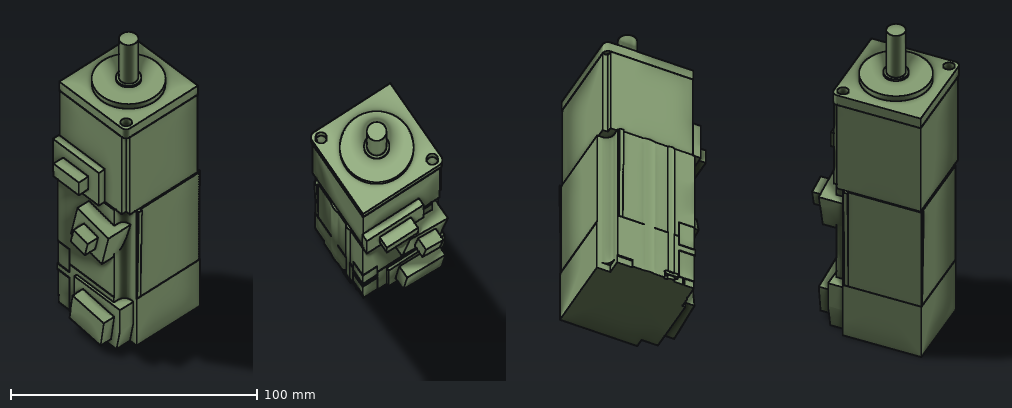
import cadquery as cq

overall_height = 148.0

encoder_width = 41.1
encoder_top = 26.0
motor_width = 40.8
motor_top = 74.6
gearbox_width = 39.7
gearbox_top = 117.8
flange_width = 40.0
flange_top = 122.8
flange_corner_radius = 2.5
pilot_diameter = 30.0
pilot_top = 125.5
collar_diameter = 10.4
collar_top = 126.4
shaft_diameter = 8.0

hole_diameter = 4.7
hole_offset = 16.3
gearbox_notch_start = 17.5
motor_notch_x = 13.6
motor_notch_y = 14.5
motor_notch_radius = 3.7
foot_height = 3.7

bowed_ribs = ((-2.7, 3.1, 0.5), (-11.2, -8.1, 0.5))

root_depth = 1.5

rib_reach_x = 21.3
rib_reach_y = 21.2
side_rib_width = 1.8
side_rib_y = 13.0
back_rib_width = 0.6
back_rib_x = 19.7

cable_pad_x = (-20.3, 7.4)
cable_pad_z = (motor_top, 92.8)
cable_pad_front = -23.2
cable_plug_x = (-14.0, 1.2)
cable_plug_z = (79.5, 86.6)
cable_plug_front = -28.5

motor_plug_center = (5.8, 58.8)
motor_plug_angle = 13.0
motor_pad_size = (19.1, 17.3)
motor_pad_front = -26.8
motor_plug_size = (8.7, 7.7)
motor_plug_front = -32.5

encoder_pad_x = (-8.7, 18.6)
encoder_pad_top = 23.2
encoder_pad_front = -21.9
pad_trim_width = 2.0
pad_trim_height = 11.4
encoder_plug_center = (4.9, 11.5)
encoder_plug_angle = 7.8
encoder_plug_size = (19.0, 13.9)
encoder_plug_front = -27.7

relief_depth = 0.3
label_width = 7.3
lower_label_top = 18.2
upper_label_z = (21.5, 34.0)

foot_relief_depth = 0.6
foot_relief_y = ((7.7, motor_notch_y), (-encoder_width / 2, -16.0), (-15.2, -6.8))
clip_y = (-12.6, -7.0)
clip_z = (1.9, foot_height)
clip_height = 0.6


def box(x_range, y_range, z_range):
    """Axis-aligned block between pairs of limits."""
    size = [high - low for low, high in (x_range, y_range, z_range)]
    corner = (x_range[0], y_range[0], z_range[0])
    return cq.Workplane("XY").box(*size, centered=False).translate(corner)


def square_section(width, bottom, top):
    """Square block centred on the shaft axis."""
    return cq.Workplane("XY").workplane(offset=bottom).rect(width, width).extrude(top - bottom)


def disc(diameter, bottom, top):
    """Cylinder on the shaft axis."""
    return cq.Workplane("XY").workplane(offset=bottom).circle(diameter / 2).extrude(top - bottom)


def front_block(center, size, angle, front):
    """Block turned clockwise about Y, reaching from the shaft axis plane to its front face."""
    block = cq.Workplane("XZ").rect(*size).extrude(-front)
    block = block.rotate((0, 0, 0), (0, 1, 0), angle)
    return block.translate((center[0], 0, center[1]))


def with_half_turn_copy(shape):
    """A shape together with its copy turned half a turn about the shaft axis."""
    return shape.union(shape.rotate((0, 0, 0), (0, 0, 1), 180))


def gearbox_section():
    body = square_section(gearbox_width, motor_top, gearbox_top)
    edge = gearbox_width / 2
    notch = box((-edge, -gearbox_notch_start), (gearbox_notch_start, edge), (motor_top, gearbox_top))
    return body.cut(with_half_turn_copy(notch))


def flange_section():
    flange = square_section(flange_width, gearbox_top, flange_top)
    for corner in ("<X and >Y", ">X and <Y"):
        flange = flange.edges(corner).fillet(flange_corner_radius)
    hole = (
        cq.Workplane("XY").workplane(offset=gearbox_top)
        .center(-hole_offset, hole_offset)
        .circle(hole_diameter / 2)
        .extrude(flange_top - gearbox_top)
    )
    return flange.cut(with_half_turn_copy(hole))


def motor_corner_notch():
    """Vertical corner recess with a rounded inner corner."""
    edge = encoder_width / 2
    notch = box((-edge, -motor_notch_x), (motor_notch_y, edge), (0, motor_top))
    rounded = notch.edges(">X and <Y").fillet(motor_notch_radius)
    square_foot = box((-edge, -motor_notch_x), (motor_notch_y, edge), (0, foot_height))
    return rounded.union(square_foot)


def bowed_rib(y_low, y_high, bulge):
    """Low rounded rib along the full height of the -X side."""
    side = -motor_width / 2
    root = side + root_depth
    return (
        cq.Workplane("XY")
        .moveTo(root, y_low)
        .lineTo(side, y_low)
        .threePointArc((side - bulge, (y_low + y_high) / 2), (side, y_high))
        .lineTo(root, y_high)
        .close()
        .extrude(motor_top)
    )


def draft_rib(reach, width):
    """Wedge on the +X side that is tallest at the motor top."""
    side = motor_width / 2
    root = side - root_depth
    return (
        cq.Workplane("XZ")
        .polyline([(root, encoder_top), (side, encoder_top), (reach, motor_top), (root, motor_top)])
        .close()
        .extrude(width / 2, both=True)
    )


def label_relief(z_range):
    """Shallow pocket wrapping the (-X, -Y) edge."""
    edge = encoder_width / 2
    bounds = (-edge, label_width - edge)
    block = box(bounds, bounds, z_range)
    inner = relief_depth - edge
    return block.cut(box((inner, 0), (inner, 0), z_range))


def foot_relief(y_range):
    """Shallow pocket along the bottom edge of the -X side."""
    side = -encoder_width / 2
    return box((side, side + foot_relief_depth), y_range, (0, foot_height))


def lower_section():
    """Encoder cover and motor with their notches, ribs and reliefs."""
    body = square_section(encoder_width, 0, encoder_top)
    body = body.union(square_section(motor_width, encoder_top, motor_top))
    body = body.cut(with_half_turn_copy(motor_corner_notch()))
    for z_range in ((0, lower_label_top), upper_label_z):
        body = body.cut(label_relief(z_range))
    for y_range in foot_relief_y:
        body = body.cut(foot_relief(y_range))

    for y_low, y_high, bulge in bowed_ribs:
        body = body.union(bowed_rib(y_low, y_high, bulge))

    side_rib = draft_rib(rib_reach_x, side_rib_width).translate((0, -side_rib_y, 0))
    body = body.union(with_half_turn_copy(side_rib))
    back_rib = draft_rib(rib_reach_y, back_rib_width).rotate((0, 0, 0), (0, 0, 1), 90)
    body = body.union(back_rib.translate((back_rib_x, 0, 0)))

    side = -encoder_width / 2
    return body.union(box((side - clip_height, side + root_depth), clip_y, clip_z))


def encoder_pad():
    """Flat connector pad with its lower right corner trimmed on a slant."""
    left, right = encoder_pad_x
    outline = [
        (left, 0),
        (right - pad_trim_width, 0),
        (right, pad_trim_height),
        (right, encoder_pad_top),
        (left, encoder_pad_top),
    ]
    return cq.Workplane("XZ").polyline(outline).close().extrude(-encoder_pad_front)


def cable_connector():
    """Upright pad and plug standing on the -Y side of the gearbox."""
    root = -gearbox_width / 2
    pad = box(cable_pad_x, (cable_pad_front, root), cable_pad_z)
    return pad.union(box(cable_plug_x, (cable_plug_front, root), cable_plug_z))


def motor_connector():
    """Pad and plug on the motor, turned together."""
    pad = front_block(motor_plug_center, motor_pad_size, motor_plug_angle, motor_pad_front)
    plug = front_block(motor_plug_center, motor_plug_size, motor_plug_angle, motor_plug_front)
    return pad.union(plug)


def encoder_connector():
    """Upright pad with a slightly turned plug."""
    plug = front_block(encoder_plug_center, encoder_plug_size, encoder_plug_angle, encoder_plug_front)
    return encoder_pad().union(plug)


result = (
    lower_section()
    .union(gearbox_section())
    .union(flange_section())
    .union(disc(pilot_diameter, flange_top, pilot_top))
    .union(disc(collar_diameter, pilot_top, collar_top))
    .union(disc(shaft_diameter, collar_top, overall_height))
    .union(cable_connector())
    .union(motor_connector())
    .union(encoder_connector())
)